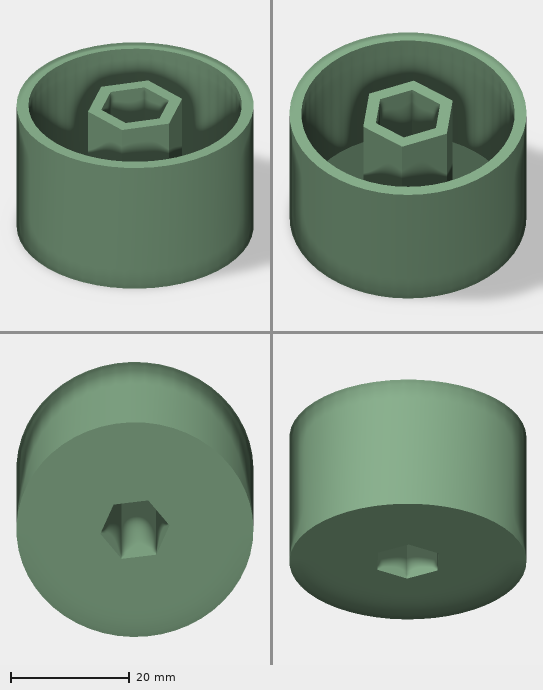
import cadquery as cq
import math

outer_diameter = 40.0
height = 24.0
wall = 2.0
floor_thickness = 2.0
bore_across_flats = 10.2
hub_across_flats = bore_across_flats + 2 * wall


def hex_prism(across_flats, bottom, top):
    """Upright hexagonal prism with two corners on the X axis."""
    across_corners = across_flats / math.cos(math.pi / 6)
    return (
        cq.Workplane("XY")
        .workplane(offset=bottom)
        .polygon(6, across_corners)
        .extrude(top - bottom)
    )


cup = cq.Workplane("XY").circle(outer_diameter / 2).extrude(height)
cavity = (
    cq.Workplane("XY")
    .workplane(offset=floor_thickness)
    .circle(outer_diameter / 2 - wall)
    .extrude(height - floor_thickness)
)

hub = hex_prism(hub_across_flats, floor_thickness, height)
bore = hex_prism(bore_across_flats, 0, height)

result = cup.cut(cavity).union(hub).cut(bore)